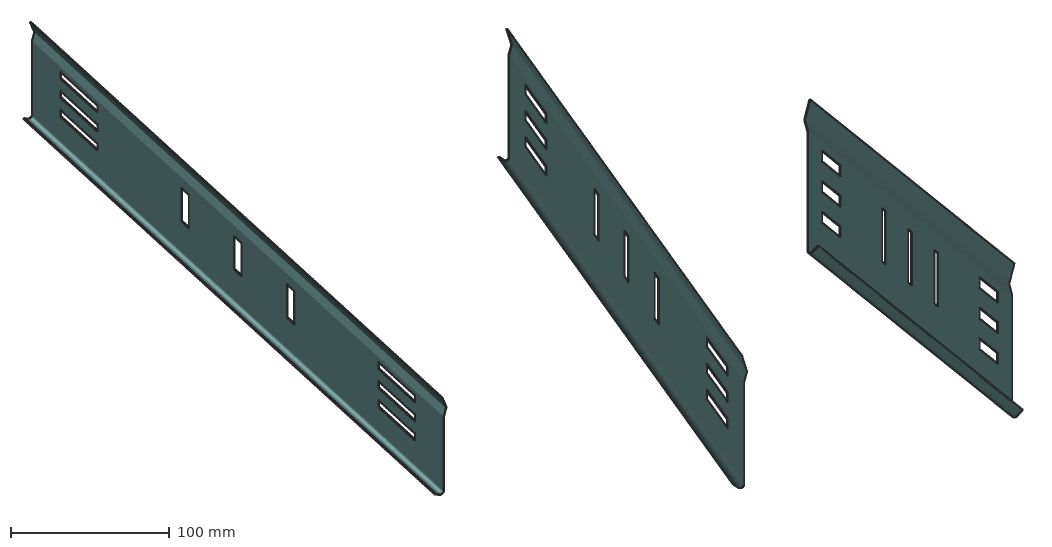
import cadquery as cq
import math

length = 393.0
depth = 10.0
height = 101.0
thickness = 0.8

lean = math.radians(15)
lip_height = 13.0
shoulder_height = 7.5
crest_inner_radius = 0.5

bend_radius = 2.5
hook_rise = math.radians(45)

slot_length = 35.0
slot_width = 7.0
end_slot_x = 151.7
end_slot_pitch = 20.0
middle_slot_pitch = 50.5
slot_center_z = 51.5

wall_top = height - lip_height - shoulder_height
crest_z = height - lip_height
crest_y = shoulder_height * math.tan(lean)
lip_tip_y = crest_y - lip_height * math.tan(lean)
crest_outer_radius = crest_inner_radius + thickness
rounded_crest_y = crest_y - crest_outer_radius * (1 / math.cos(lean) - 1)
hook_tip_y = rounded_crest_y - depth
leaning_thickness = thickness / math.cos(lean)
fold_drop = thickness * math.tan(lean / 2)


def bend_point(radius, angle):
    """Point on the hook bend, with the angle measured from +Y toward -Z."""
    return (-bend_radius + radius * math.cos(angle), bend_radius - radius * math.sin(angle))


def make_sheet():
    """Folded sheet: constant profile in the YZ plane, extruded along X."""
    inner_radius = bend_radius - thickness
    sweep = math.pi / 2 + hook_rise
    outer_end = bend_point(bend_radius, sweep)
    inner_end = bend_point(inner_radius, sweep)
    hook_tip_z = outer_end[1] + (outer_end[0] - hook_tip_y) * math.tan(hook_rise)
    inner_tip_y = inner_end[0] - (hook_tip_z - inner_end[1]) / math.tan(hook_rise)
    profile = (
        cq.Workplane("YZ", origin=(-length / 2, 0, 0))
        .moveTo(0, bend_radius)
        .lineTo(0, wall_top)
        .lineTo(crest_y, crest_z)
        .lineTo(lip_tip_y, height)
        .lineTo(lip_tip_y - leaning_thickness, height)
        .lineTo(crest_y - leaning_thickness, crest_z)
        .lineTo(-thickness, wall_top - fold_drop)
        .lineTo(-thickness, bend_radius)
        .threePointArc(bend_point(inner_radius, sweep / 2), inner_end)
        .lineTo(inner_tip_y, hook_tip_z)
        .lineTo(hook_tip_y, hook_tip_z)
        .lineTo(*outer_end)
        .threePointArc(bend_point(bend_radius, sweep / 2), (0, bend_radius))
        .close()
    )
    return profile.extrude(length)


def round_crest(sheet):
    """Round both faces of the fold between the two leaning legs."""
    front_edge = cq.NearestToPointSelector((0, crest_y - leaning_thickness, crest_z))
    rear_edge = cq.NearestToPointSelector((0, crest_y, crest_z))
    front_rounded = sheet.edges(front_edge).fillet(crest_inner_radius)
    return front_rounded.edges(rear_edge).fillet(crest_outer_radius)


def make_slots(centers, size_x, size_z):
    """Rectangular cutters passing through the flat wall in Y."""
    return (
        cq.Workplane("XZ", origin=(0, 0, slot_center_z))
        .pushPoints(centers)
        .rect(size_x, size_z)
        .extrude(depth, both=True)
    )


end_slot_centers = [
    (side * end_slot_x, row * end_slot_pitch)
    for side in (-1, 1)
    for row in (-1, 0, 1)
]
middle_slot_centers = [(column * middle_slot_pitch, 0) for column in (-1, 0, 1)]

result = (
    round_crest(make_sheet())
    .cut(make_slots(end_slot_centers, slot_length, slot_width))
    .cut(make_slots(middle_slot_centers, slot_width, slot_length))
)